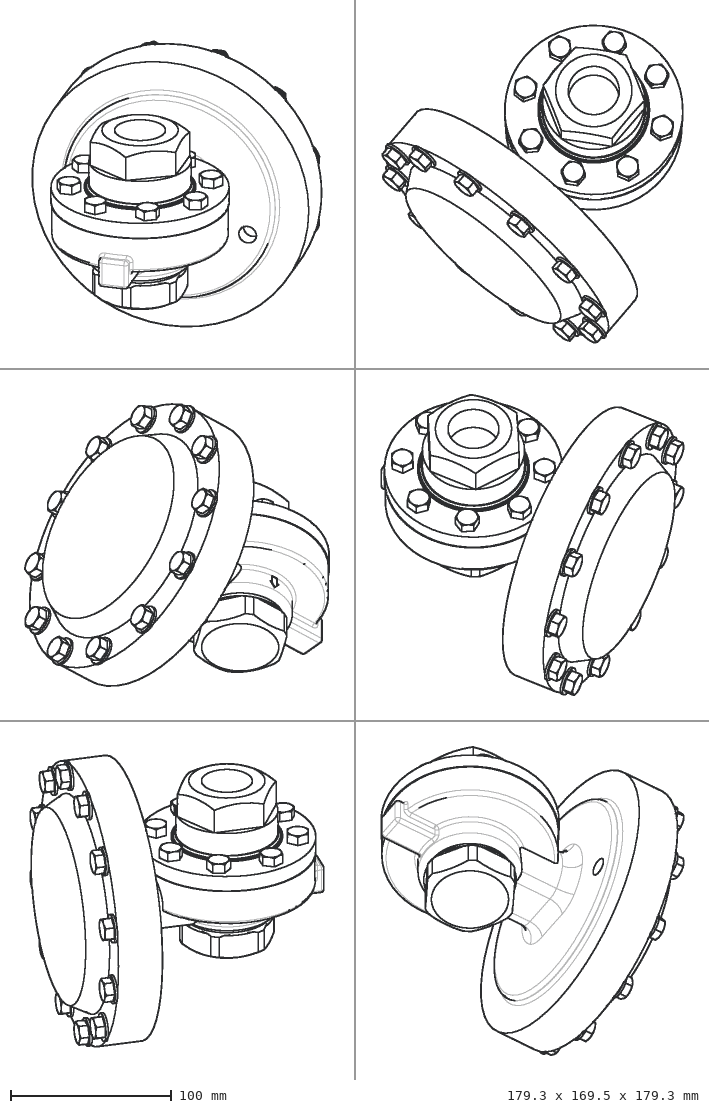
import cadquery as cq
import math


tolerance = 0.01
selection_margin = 1.0

housing_radius = 89.66
housing_back_y = 95.5
housing_front_y = 67.0
cover_back_y = 108.9
cover_base_radius = 69.3
cover_top_radius = 62.2
lip_radius = 68.5
lip_front_y = 61.9
lip_root_fillet = 2.2
lip_edge_fillet = 2.6
face_cone_slope = 0.027
face_apex_y = lip_front_y - face_cone_slope * lip_radius
vent_radius = 5.6
vent_depth = 10.0
vent_x = 51.6
vent_z = -18.7

housing_bolt_count = 12
housing_bolt_circle = 81.6
washer_radius = 8.9
washer_thickness = 1.5
housing_bolt_turn = 15.0
bolt_flats = 13.0
bolt_head_height = 6.0
bolt_chamfer_angle = 30.0

neck_radius = 25.5
neck_centre_z = 3.5
neck_height = 41.2
neck_corner_fillet = 10.0
neck_flare_fillet = 9.0

flange_radius = 55.4
flange_top_z = 33.8
flange_bottom_z = 23.4
body_radius = 54.9
body_bottom_z = -0.2
body_edge_fillet = 2.5
stem_radius = 32.4
stem_bottom_z = -17.3
stem_root_fillet = 2.2
stem_edge_fillet = 4.6
groove_radius = 27.3
groove_bottom_z = -19.5

collar_radius = 31.8
collar_top_z = 51.9
seal_radius = 34.7
seal_height = 1.2
seal_chamfer = 0.5
step_radius = 32.4
step_base_radius = 33.5
step_top_z = 36.5

hex_turn = 30.0
upper_hex_flats = 55.3
upper_hex_top_z = 72.5
upper_hex_face_radius = 23.7
upper_hex_chamfer_angle = 31.0
bore_radius = 15.8
bore_depth = 17.5
lower_hex_flats = 54.2
lower_hex_corner_radius = 29.85
lower_hex_bottom_z = -38.9
lower_hex_face_radius = 24.0
lower_hex_chamfer_angle = 30.0
lower_hex_top_chamfer_angle = 41.0
lower_hex_cone_height = 1.3

flange_bolt_count = 8
flange_bolt_circle = 44.4
flange_bolt_head_height = 6.3

lug_side = 19.0
lug_front_y = -60.61
lug_edge_fillet = 2.3
lug_root_fillet = 2.0

arrow_top_z = -2.9
arrow_shoulder_z = -7.1
arrow_tip_z = -10.8
arrow_shaft_half_width = 2.0
arrow_head_half_width = 3.25
arrow_height = 0.4


def across_corners(flats):
    return flats / math.cos(math.pi / 6)


def disc(radius, z_low, z_high):
    return cq.Workplane("XY").workplane(offset=z_low).circle(radius).extrude(z_high - z_low)


def hex_prism(flats, z_low, z_high):
    """Hexagon about Z with two corners on the X axis."""
    plane = cq.Workplane("XY").workplane(offset=z_low)
    return plane.polygon(6, across_corners(flats)).extrude(z_high - z_low)


def hex_bolt_head(height):
    """Bolt head standing on Z = 0 with its top corners turned to a cone."""
    corner = across_corners(bolt_flats) / 2
    face_radius = bolt_flats / 2
    drop = (corner - face_radius) * math.tan(math.radians(bolt_chamfer_angle))
    envelope = revolve_about_z([
        (0, 0),
        (corner, 0),
        (corner, height - drop),
        (face_radius, height),
        (0, height),
    ])
    return hex_prism(bolt_flats, 0, height).intersect(envelope)


def revolve_about_y(profile):
    return cq.Workplane("XY").polyline(profile).close().revolve(360, (0, 0), (0, 1))


def revolve_about_z(profile):
    return cq.Workplane("XZ").polyline(profile).close().revolve(360, (0, 0), (0, 1))


def fillet_circle(part, size, radius, centre):
    """Round the circular edge with the given radius and centre."""
    solid = part.val()
    edges = []
    for edge in part.edges("%CIRCLE").vals():
        same_radius = abs(edge.radius() - radius) < tolerance
        if same_radius and (edge.arcCenter() - cq.Vector(*centre)).Length < tolerance:
            edges.append(edge)
    return cq.Workplane("XY").newObject([solid.fillet(size, edges)])


def make_housing():
    housing = revolve_about_y([
        (0, face_apex_y),
        (lip_radius, lip_front_y),
        (lip_radius, housing_front_y),
        (housing_radius, housing_front_y),
        (housing_radius, housing_back_y),
        (cover_base_radius, housing_back_y),
        (cover_top_radius, cover_back_y),
        (0, cover_back_y),
    ])
    housing = fillet_circle(housing, lip_root_fillet, lip_radius, (0, housing_front_y, 0))
    return fillet_circle(housing, lip_edge_fillet, lip_radius, (0, lip_front_y, 0))


def add_neck(housing):
    """Round neck with flattened top and bottom, flared where it meets the housing."""
    slab = cq.Workplane("XY").box(3 * neck_radius, 2 * cover_back_y, neck_height)
    neck = cq.Workplane("XZ").circle(neck_radius).extrude(-housing_front_y).intersect(slab)
    neck = neck.edges("|Y").fillet(neck_corner_fillet).translate((0, 0, neck_centre_z))
    joined = housing.union(neck)
    reach = neck_radius + selection_margin
    root_box = cq.selectors.BoxSelector(
        (-reach, face_apex_y - selection_margin, neck_centre_z - reach),
        (reach, lip_front_y, neck_centre_z + reach),
        boundingbox=True,
    )
    return joined.edges(root_box).fillet(neck_flare_fillet)


def cut_vent(part):
    vent = cq.Workplane("XZ").center(vent_x, vent_z).circle(vent_radius)
    vent = vent.extrude(-(lip_front_y + vent_depth))
    return part.cut(vent)


def add_housing_bolts(part):
    washer = disc(washer_radius, 0, washer_thickness)
    head = hex_bolt_head(bolt_head_height).translate((0, 0, washer_thickness))
    head = head.rotate((0, 0, 0), (0, 0, 1), housing_bolt_turn)
    bolt = washer.union(head).rotate((0, 0, 0), (1, 0, 0), -90)
    pitch = 360 / housing_bolt_count
    for index in range(housing_bolt_count):
        turned = bolt.translate((housing_bolt_circle, housing_back_y, 0))
        part = part.union(turned.rotate((0, 0, 0), (0, 1, 0), (index + 0.5) * pitch))
    return part


def make_body():
    """Round body below the flange, with the stem and the groove above the lower hexagon."""
    body = revolve_about_z([
        (0, groove_bottom_z),
        (groove_radius, groove_bottom_z),
        (groove_radius, stem_bottom_z),
        (stem_radius, stem_bottom_z),
        (stem_radius, body_bottom_z),
        (body_radius, body_bottom_z),
        (body_radius, flange_bottom_z),
        (flange_radius, flange_bottom_z),
        (flange_radius, flange_top_z),
        (0, flange_top_z),
    ])
    body = fillet_circle(body, body_edge_fillet, body_radius, (0, 0, body_bottom_z))
    body = fillet_circle(body, stem_root_fillet, stem_radius, (0, 0, body_bottom_z))
    return fillet_circle(body, stem_edge_fillet, stem_radius, (0, 0, stem_bottom_z))


def make_lug():
    """Square bar from the valve axis to the front, rounded on its long and front edges."""
    lug = cq.Workplane("XZ").rect(lug_side, lug_side).extrude(-lug_front_y)
    return lug.edges("|Y or <Y").fillet(lug_edge_fillet)


def add_lug(body):
    """Join the lug to the body and round the seam between them."""
    lug = make_lug()
    joined = body.union(lug)
    skins = [body.val().Shells()[0], lug.val().Shells()[0]]
    seam = []
    for edge in joined.edges().vals():
        middle = cq.Vertex.makeVertex(*edge.positionAt(0.5).toTuple())
        if all(middle.distance(skin) < tolerance for skin in skins):
            seam.append(edge)
    return cq.Workplane("XY").newObject([joined.val().fillet(lug_root_fillet, seam)])


def make_collar():
    seal_top_z = flange_top_z + seal_height
    return revolve_about_z([
        (0, flange_top_z),
        (seal_radius, flange_top_z),
        (seal_radius, seal_top_z - seal_chamfer),
        (seal_radius - seal_chamfer, seal_top_z),
        (step_base_radius, seal_top_z),
        (step_radius, step_top_z),
        (collar_radius, step_top_z),
        (collar_radius, collar_top_z),
        (0, collar_top_z),
    ])


def make_upper_hex():
    corner = across_corners(upper_hex_flats) / 2
    drop = (corner - upper_hex_face_radius) * math.tan(math.radians(upper_hex_chamfer_angle))
    envelope = revolve_about_z([
        (0, collar_top_z),
        (corner, collar_top_z),
        (corner, upper_hex_top_z - drop),
        (upper_hex_face_radius, upper_hex_top_z),
        (0, upper_hex_top_z),
    ])
    prism = hex_prism(upper_hex_flats, collar_top_z, upper_hex_top_z)
    return prism.rotate((0, 0, 0), (0, 0, 1), hex_turn).intersect(envelope)


def make_lower_hex():
    """Hexagon with turned corners, a chamfered bottom and a full cone on top."""
    bottom_rise = (lower_hex_corner_radius - lower_hex_face_radius) * math.tan(
        math.radians(lower_hex_chamfer_angle))
    top_drop = (lower_hex_corner_radius - groove_radius) * math.tan(
        math.radians(lower_hex_top_chamfer_angle))
    envelope = revolve_about_z([
        (0, groove_bottom_z),
        (groove_radius, groove_bottom_z),
        (lower_hex_corner_radius, groove_bottom_z - top_drop),
        (lower_hex_corner_radius, lower_hex_bottom_z + bottom_rise),
        (lower_hex_face_radius, lower_hex_bottom_z),
        (0, lower_hex_bottom_z),
    ])
    cone_bottom_z = groove_bottom_z - lower_hex_cone_height
    prism = hex_prism(lower_hex_flats, lower_hex_bottom_z, cone_bottom_z)
    blank = prism.rotate((0, 0, 0), (0, 0, 1), hex_turn)
    blank = blank.union(disc(lower_hex_corner_radius, cone_bottom_z, groove_bottom_z))
    return blank.intersect(envelope)


def add_flange_bolts(part):
    head = hex_bolt_head(flange_bolt_head_height)
    pitch = 360 / flange_bolt_count
    for index in range(flange_bolt_count):
        placed = head.translate((flange_bolt_circle, 0, flange_top_z))
        placed = placed.rotate((flange_bolt_circle, 0, 0), (flange_bolt_circle, 0, 1), -pitch / 2)
        part = part.union(placed.rotate((0, 0, 0), (0, 0, 1), (index + 0.5) * pitch))
    return part


def make_arrow():
    """Flow arrow pointing down, standing slightly proud of the stem on its -X side."""
    outline = [
        (arrow_shaft_half_width, arrow_top_z),
        (arrow_shaft_half_width, arrow_shoulder_z),
        (arrow_head_half_width, arrow_shoulder_z),
        (0, arrow_tip_z),
        (-arrow_head_half_width, arrow_shoulder_z),
        (-arrow_shaft_half_width, arrow_shoulder_z),
        (-arrow_shaft_half_width, arrow_top_z),
    ]
    prism = cq.Workplane("YZ").polyline(outline).close().extrude(-2 * stem_radius)
    return prism.intersect(disc(stem_radius + arrow_height, arrow_tip_z, arrow_top_z))


def cut_bore(part):
    return part.cut(disc(bore_radius, upper_hex_top_z - bore_depth, upper_hex_top_z))


result = add_lug(make_body())
result = result.union(add_neck(make_housing()))
result = result.union(make_collar())
result = result.union(make_upper_hex())
result = result.union(make_lower_hex())
result = result.union(make_arrow())
result = add_flange_bolts(result)
result = add_housing_bolts(result)
result = cut_bore(result)
result = cut_vent(result)